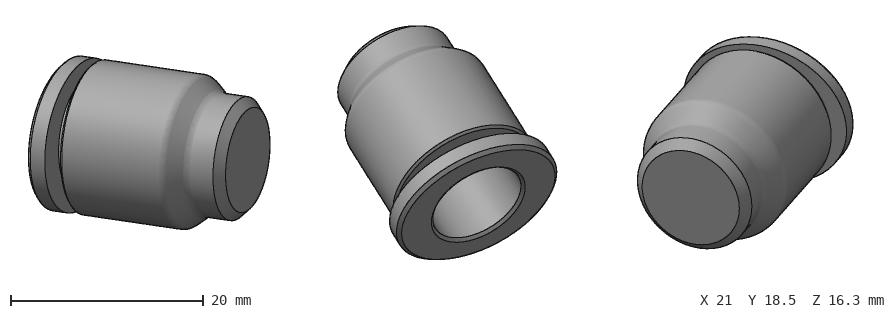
import cadquery as cq

length = 21.0
flange_thickness = 2.05
body_start = 3.23
shoulder_start = 14.97
nose_start = 17.0

flange_width = 18.5
flange_height = 16.02
flange_chamfer = 0.4

neck_radius = 5.84
body_radius = 8.15
nose_radius = 6.5
body_chamfer = 0.25
shoulder_blend = 1.0
nose_chamfer = 0.99

edge_search = 0.1

bore_radius = 5.08
bore_chamfer = 0.34
bore_depth = 17.37


def make_flange():
    """Elliptical flange, chamfered around its outer face."""
    flange = cq.Workplane("YZ").ellipse(flange_width / 2, flange_height / 2).extrude(flange_thickness)
    return flange.faces("<X").chamfer(flange_chamfer)


def make_sleeve():
    """Turned neck, body, conical shoulder and nose."""
    sleeve = (
        cq.Workplane("XY")
        .moveTo(flange_thickness, 0)
        .lineTo(flange_thickness, neck_radius)
        .lineTo(body_start, neck_radius)
        .lineTo(body_start, body_radius - body_chamfer)
        .lineTo(body_start + body_chamfer, body_radius)
        .lineTo(shoulder_start, body_radius)
        .lineTo(nose_start, nose_radius)
        .lineTo(length - nose_chamfer, nose_radius)
        .lineTo(length, nose_radius - nose_chamfer)
        .lineTo(length, 0)
        .close()
        .revolve(360, (0, 0, 0), (1, 0, 0))
    )
    for station in (shoulder_start, nose_start):
        ring = cq.selectors.BoxSelector(
            (station - edge_search, -edge_search, -edge_search),
            (station + edge_search, edge_search, edge_search),
        )
        sleeve = sleeve.edges(ring).fillet(shoulder_blend)
    return sleeve


def make_bore():
    """Cutter for the blind bore with its chamfered mouth."""
    return (
        cq.Workplane("XY")
        .lineTo(0, bore_radius + bore_chamfer)
        .lineTo(bore_chamfer, bore_radius)
        .lineTo(bore_depth, bore_radius)
        .lineTo(bore_depth, 0)
        .close()
        .revolve(360, (0, 0, 0), (1, 0, 0))
    )


result = make_flange().union(make_sleeve()).cut(make_bore())